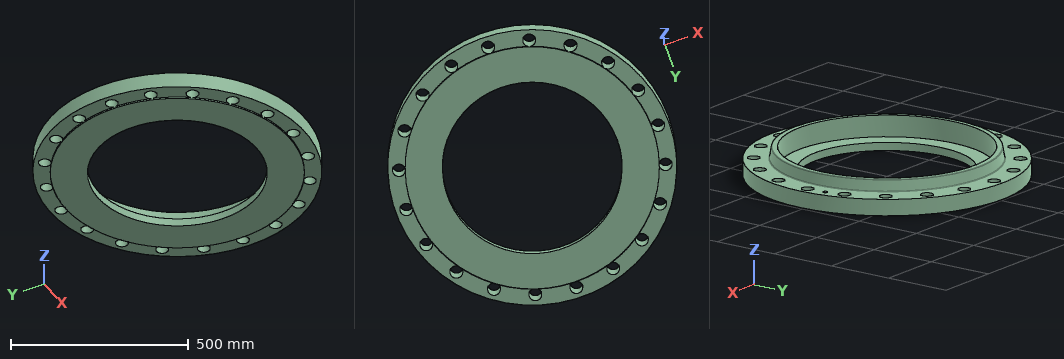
import cadquery as cq
import math

flange_diameter = 812.5
flange_thickness = 49.0

face_diameter = 714.0
face_height = 5.0

hub_base_diameter = 662.0
hub_top_diameter = 651.0
hub_height = 34.0
hub_base_fillet = 2.0
hub_rim_fillet = 2.0

bore_diameter = 505.0
recess_diameter = 616.0
lip_thickness = 24.0

bolt_count = 20
bolt_circle_diameter = 749.0
bolt_hole_diameter = 36.0
bolt_pitch_angle = 360.0 / bolt_count

marker_diameter = 13.0
marker_step_depth = 5.0
marker_core_diameter = 6.5
marker_depth = 16.0
marker_angle = bolt_pitch_angle / 2

total_height = face_height + flange_thickness + hub_height
bottom_z = -total_height / 2
flange_bottom_z = bottom_z + face_height
flange_top_z = flange_bottom_z + flange_thickness
top_z = flange_top_z + hub_height
recess_floor_z = bottom_z + lip_thickness


def ring_body():
    """Revolve the cross-section of the flange, hub, raised face and stepped bore."""
    section = [
        (bore_diameter / 2, bottom_z),
        (face_diameter / 2, bottom_z),
        (face_diameter / 2, flange_bottom_z),
        (flange_diameter / 2, flange_bottom_z),
        (flange_diameter / 2, flange_top_z),
        (hub_base_diameter / 2, flange_top_z),
        (hub_top_diameter / 2, top_z),
        (recess_diameter / 2, top_z),
        (recess_diameter / 2, recess_floor_z),
        (bore_diameter / 2, recess_floor_z),
    ]
    return cq.Workplane("XZ").polyline(section).close().revolve(360, (0, 0), (0, 1))


def round_hub(body):
    """Fillet the outer edge of the hub rim and the foot of the hub."""
    largest = cq.selectors.RadiusNthSelector(-1)
    smallest = cq.selectors.RadiusNthSelector(0)
    rounded_rim = body.faces(">Z").edges(largest).fillet(hub_rim_fillet)
    plate_top = cq.selectors.NearestToPointSelector((0, 0, flange_top_z))
    return rounded_rim.faces("|Z").faces(plate_top).edges(smallest).fillet(hub_base_fillet)


def bolt_holes():
    """Cylinders that pass through the plate, evenly spaced on the bolt circle."""
    return (
        cq.Workplane("XY", origin=(0, 0, bottom_z))
        .polarArray(bolt_circle_diameter / 2, 0, 360, bolt_count)
        .circle(bolt_hole_diameter / 2)
        .extrude(total_height)
    )


def marker_hole():
    """Small stepped blind hole on the bolt circle, sunk from the top of the plate."""
    radius = bolt_circle_diameter / 2
    angle = math.radians(marker_angle)
    plate_top = cq.Workplane(
        "XY", origin=(radius * math.cos(angle), radius * math.sin(angle), flange_top_z)
    )
    step = plate_top.circle(marker_diameter / 2).extrude(-marker_step_depth)
    core = plate_top.circle(marker_core_diameter / 2).extrude(-marker_depth)
    return step.union(core)


result = round_hub(ring_body()).cut(bolt_holes()).cut(marker_hole())